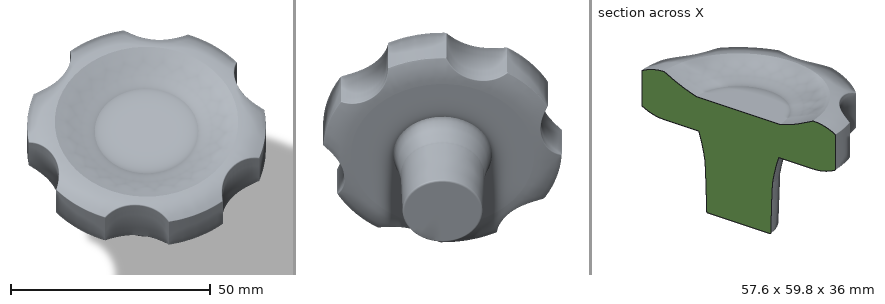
import cadquery as cq
import math

knob_height = 36.0
rim_radius = 29.9

disc_thickness = 13.7
rim_crown_height = 1.85
rim_edge_fillet = 0.25

dish_radius = 22.95
dish_floor_radius = 13.0
dish_depth = 4.05
dish_wall_sag = 0.3

stem_base_radius = 10.0
stem_top_radius = 10.45
stem_height = 14.45
stem_edge_fillet = 0.5
neck_radius = 12.4
neck_sag = 0.2

scallop_count = 6
scallop_radius = 11.25
scallop_floor_radius = 25.5

disc_bottom = knob_height - disc_thickness
dish_floor = knob_height - dish_depth


def bowed_midpoint(start, end, sag):
    """Midpoint of start-end, moved by sag to the left of the travel direction."""
    dx = end[0] - start[0]
    dz = end[1] - start[1]
    length = math.hypot(dx, dz)
    return (
        (start[0] + end[0]) / 2 - sag * dz / length,
        (start[1] + end[1]) / 2 + sag * dx / length,
    )


def crown_midpoint():
    """Middle of the upper crown arc, which is level where it meets the dish edge."""
    crown_width = rim_radius - dish_radius
    crown_radius = (crown_width**2 + rim_crown_height**2) / (2 * rim_crown_height)
    half_angle = math.asin(crown_width / crown_radius) / 2
    return (
        dish_radius + crown_radius * math.sin(half_angle),
        knob_height - crown_radius * (1 - math.cos(half_angle)),
    )


def make_disc():
    """Crowned disc, with finger scallops around the rim and softened outer edges."""
    band_bottom = disc_bottom + rim_crown_height
    band_top = knob_height - rim_crown_height
    disc = (
        cq.Workplane("XZ")
        .moveTo(0, disc_bottom)
        .lineTo(dish_radius, disc_bottom)
        .tangentArcPoint((rim_radius, band_bottom), relative=False)
        .lineTo(rim_radius, band_top)
        .threePointArc(crown_midpoint(), (dish_radius, knob_height))
        .lineTo(0, knob_height)
        .close()
        .revolve(360, (0, 0, 0), (0, 1, 0))
    )
    scallops = (
        cq.Workplane("XY")
        .workplane(offset=disc_bottom)
        .polarArray(scallop_floor_radius + scallop_radius, 0, 360, scallop_count)
        .circle(scallop_radius)
        .extrude(disc_thickness)
    )
    disc = disc.cut(scallops)
    edge_margin = 0.05
    rim_zone = cq.selectors.BoxSelector(
        (-rim_radius, -rim_radius, disc_bottom + edge_margin),
        (rim_radius, rim_radius, knob_height - edge_margin),
    )
    return disc.edges("not(|Z)").edges(rim_zone).fillet(rim_edge_fillet)


def make_stem():
    """Slightly tapered stem that flares out into the disc."""
    stem_top = (stem_top_radius, stem_height)
    neck_top = (neck_radius, disc_bottom)
    return (
        cq.Workplane("XZ")
        .lineTo(stem_base_radius, 0)
        .lineTo(*stem_top)
        .threePointArc(bowed_midpoint(stem_top, neck_top, neck_sag), neck_top)
        .lineTo(0, disc_bottom)
        .close()
        .revolve(360, (0, 0, 0), (0, 1, 0))
        .faces("<Z")
        .edges()
        .fillet(stem_edge_fillet)
    )


def make_dish():
    """Solid to remove for the dished top: flat floor and concave wall."""
    floor_edge = (dish_floor_radius, dish_floor)
    dish_edge = (dish_radius, knob_height)
    return (
        cq.Workplane("XZ")
        .moveTo(0, dish_floor)
        .lineTo(*floor_edge)
        .threePointArc(bowed_midpoint(floor_edge, dish_edge, -dish_wall_sag), dish_edge)
        .lineTo(0, knob_height)
        .close()
        .revolve(360, (0, 0, 0), (0, 1, 0))
    )


result = make_disc().union(make_stem()).cut(make_dish())